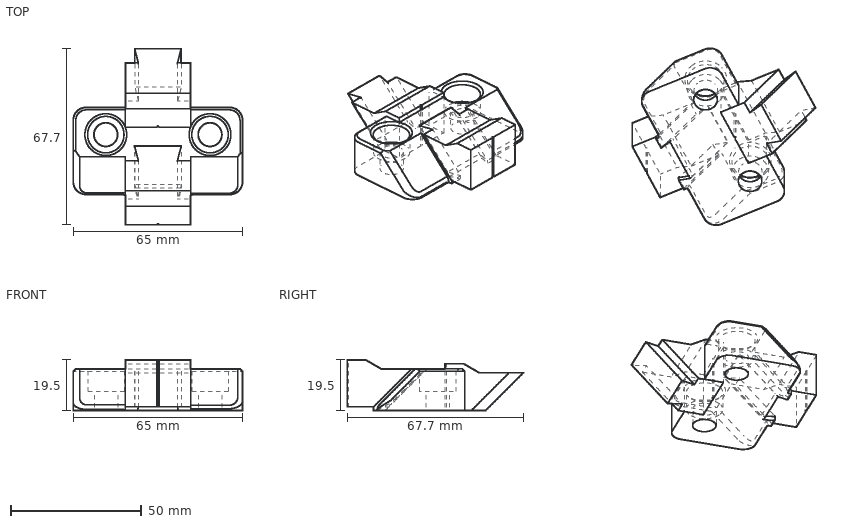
import cadquery as cq
import math


housing_width = 65.0
housing_height = 16.0
housing_rear = 11.3
wing_front = -22.2
corner_radius = 5.0
inner_fillet_radius = 1.0
rim_chamfer = 1.0
left_chamfer = 2.5
right_chamfer = 1.9
incline_step = 1.4

hole_spacing = 40.0
hole_y = 0.8
hole_diameter = 9.0
counterbore_diameter = 14.0
counterbore_depth = 8.6
counterbore_chamfer = 1.0
counterbore_chamfer_angle = 45

jaw_width = 25.0
jaw_front = -33.8
jaw_length = 30.2
jaw_bottom = 1.4
jaw_top = 19.5
jaw_ledge_length = 7.1
jaw_ramp_angle = 30
jaw_shift = 37.5
vee_depth = 0.5

dovetail_tip_width = 17.85
dovetail_root_width = 15.0
dovetail_depth = 5.5
dovetail_gap = 0.2

middle_incline = jaw_front + jaw_length - dovetail_depth
wing_incline = middle_incline + incline_step
middle_foot = middle_incline - (housing_height - jaw_bottom)


def dovetail_bar(depth, end_height):
    """Dovetail running down the middle incline from the housing top to end_height."""
    flare = (dovetail_tip_width - dovetail_root_width) / 2 / dovetail_depth
    root_half = dovetail_root_width / 2
    tip_half = root_half + flare * depth
    tip = middle_incline + depth
    corners = [
        (-root_half, middle_incline),
        (root_half, middle_incline),
        (tip_half, tip),
        (-tip_half, tip),
    ]
    section = cq.Wire.makePolygon([cq.Vector(x, y, housing_height) for x, y in corners], close=True)
    drop = housing_height - end_height
    return cq.Workplane(cq.Solid.extrudeLinear(section, [], cq.Vector(0, -drop, -drop)))


def across(points, width):
    """Solid with the given YZ outline, centred on X = 0."""
    return cq.Workplane("YZ").polyline(points).close().extrude(width / 2, both=True)


def edge_chamfer_cutters(side, size):
    """Chamfer cutters along the outer edge of one wing incline (side -1 left, +1 right).

    Both chamfer borders follow the line where the wall and the incline, each moved
    inward by size, would meet. The cutters are lofted through triangles along the edge.
    """
    lift = size / math.sqrt(2)
    overshoot = 0.2
    arc_steps = 6

    def triangle(x, y, normal_x, normal_y):
        inset_x = x + size * normal_x
        inset_y = y + size * normal_y
        inset_z = housing_height + inset_y - wing_incline - 2 * lift
        on_wall = cq.Vector(x, y, inset_z)
        on_incline = cq.Vector(inset_x, inset_y - lift, inset_z + lift)
        reach = (on_incline - on_wall) * overshoot
        edge = cq.Vector(x, y, housing_height + y - wing_incline)
        outside = edge + (edge - (on_wall + on_incline) * 0.5) * 2 * overshoot
        corners = [on_wall - reach, outside, on_incline + reach]
        return cq.Wire.makePolygon([cq.Vector(side * p.x, p.y, p.z) for p in corners], close=True)

    def arc_triangles(center_x, center_y, radius, start, end, inward):
        wires = []
        for step in range(arc_steps + 1):
            angle = math.radians(start + (end - start) * step / arc_steps)
            x, y = math.cos(angle), math.sin(angle)
            wires.append(triangle(center_x + radius * x, center_y + radius * y, inward * x, inward * y))
        return wires

    wall_x = housing_width / 2
    outer_corner = arc_triangles(
        wall_x - corner_radius, wing_front + corner_radius, corner_radius, 0, -90, -1)
    inner_corner = arc_triangles(
        jaw_width / 2 + inner_fillet_radius, wing_front - inner_fillet_radius,
        inner_fillet_radius, 90, 180, 1)
    side_start = triangle(wall_x, housing_rear, -1, 0)
    return [
        cq.Solid.makeLoft([side_start, outer_corner[0]], True),
        cq.Solid.makeLoft(outer_corner, False),
        cq.Solid.makeLoft([outer_corner[-1], inner_corner[0]], True),
        cq.Solid.makeLoft(inner_corner, False),
    ]


def make_wings():
    """Rounded plate with the wing inclines, still without middle, groove and holes."""
    half = housing_width / 2
    neck = jaw_width / 2
    plan = [
        (-half, housing_rear), (half, housing_rear), (half, wing_front), (neck, wing_front),
        (neck, middle_foot), (-neck, middle_foot), (-neck, wing_front), (-half, wing_front),
    ]
    wings = cq.Workplane("XY").polyline(plan).close().extrude(housing_height)
    wings = wings.edges("|Z and (<X or >X)").fillet(corner_radius)
    inner_edges = cq.selectors.BoxSelector(
        (-half + corner_radius, wing_front - inner_fillet_radius, 0),
        (half - corner_radius, wing_front + inner_fillet_radius, housing_height))
    wings = wings.edges("|Z").edges(inner_edges).fillet(inner_fillet_radius)

    above_incline = across(
        [
            (wing_incline, housing_height),
            (wing_incline - housing_height, 0),
            (jaw_front, 0),
            (jaw_front, housing_height),
        ],
        housing_width,
    )
    wings = wings.cut(above_incline)
    wings = wings.faces(">Z").edges(">Y").chamfer(rim_chamfer)
    for side, size in ((-1, left_chamfer), (1, right_chamfer)):
        for cutter in edge_chamfer_cutters(side, size):
            wings = wings.cut(cq.Workplane(cutter))
    return wings


def make_housing():
    """Housing with its dovetail groove and screw holes, before the recess for the rear jaw."""
    middle = across(
        [
            (housing_rear, 0),
            (housing_rear, housing_height),
            (middle_incline, housing_height),
            (middle_foot, jaw_bottom),
            (middle_foot, 0),
        ],
        jaw_width,
    )
    housing = make_wings().union(middle)
    housing = housing.cut(dovetail_bar(dovetail_depth + dovetail_gap, 0))

    holes = (
        cq.Workplane("XY", origin=(0, 0, housing_height))
        .pushPoints([(-hole_spacing / 2, hole_y), (hole_spacing / 2, hole_y)])
    )
    bores = holes.circle(hole_diameter / 2).extrude(-housing_height)
    counterbores = holes.circle(counterbore_diameter / 2).extrude(-counterbore_depth)
    rim_cones = (
        holes.circle(counterbore_diameter / 2 + counterbore_chamfer)
        .extrude(-counterbore_chamfer, taper=counterbore_chamfer_angle)
    )
    return housing.cut(bores).cut(counterbores).cut(rim_cones)


def make_jaw():
    """Jaw in its front position."""
    ledge_end = jaw_front + jaw_ledge_length
    ramp_end = ledge_end + (jaw_top - housing_height) / math.tan(math.radians(jaw_ramp_angle))
    jaw = across(
        [
            (jaw_front, jaw_bottom),
            (jaw_front, jaw_top),
            (ledge_end, jaw_top),
            (ramp_end, housing_height),
            (middle_incline, housing_height),
            (middle_foot, jaw_bottom),
        ],
        jaw_width,
    )
    jaw = jaw.union(dovetail_bar(dovetail_depth, jaw_bottom))
    vee = (
        cq.Workplane("XY")
        .polyline([(-vee_depth, jaw_front), (vee_depth, jaw_front), (0, jaw_front + vee_depth)])
        .close()
        .extrude(jaw_top)
    )
    return jaw.cut(vee)


jaw_places = [(0, 0, 0), (0, jaw_shift, -jaw_bottom)]
jaws = [make_jaw().translate(place) for place in jaw_places]
rear_jaw = jaws[-1]

housing = make_housing().cut(rear_jaw)

result = cq.Compound.makeCompound([housing.solids().val(), *[jaw.solids().val() for jaw in jaws]])